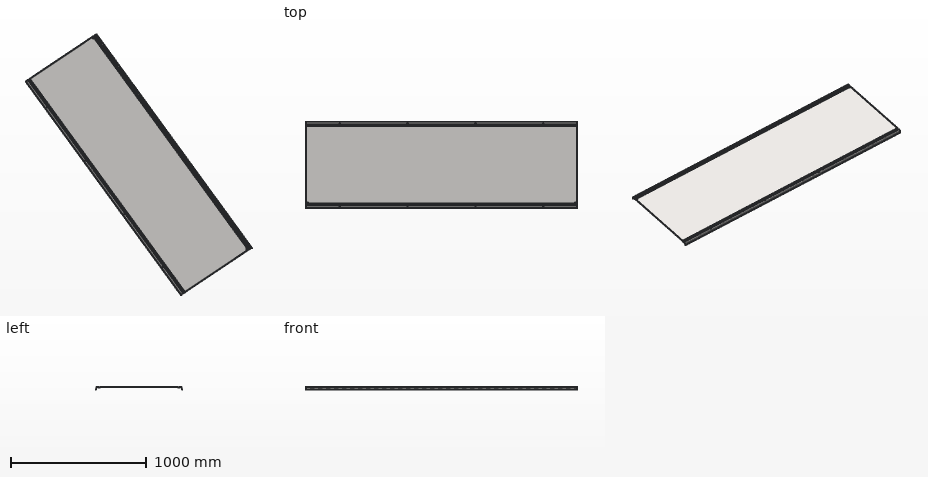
import cadquery as cq

length = 2000.0
width = 635.0
height = 20.0
sheet = 1.0

flange_lean = 5.0
bend_radius = 2.0

groove_start = 18.0
groove_end = 35.0
wall_run = 5.0
groove_depth = 5.0

hole_diameter = 5.0
hole_inset = 15.0
hole_pitch = 500.0
hole_count = 4

corner_hole_end_inset = 12.0
corner_hole_side_inset = 38.0


def half_profile():
    """Outline of the bent sheet for the +Y half, as (y, z) points."""
    edge = width / 2
    floor = height - groove_depth
    top = [
        (0, height),
        (edge - groove_end, height),
        (edge - groove_end + wall_run, floor),
        (edge - groove_start - wall_run, floor),
        (edge - groove_start, height),
        (edge - flange_lean, height),
    ]
    flange = [
        (edge, 0),
        (edge - sheet, 0),
        (edge - flange_lean - sheet, height - sheet),
    ]
    underside = [(y, z - sheet) for y, z in reversed(top[:-1])]
    return top + flange + underside


def round_bend(body, y, z, radius):
    """Round the lengthwise edge that runs through the point (0, y, z)."""
    return body.edges("|X").edges(cq.selectors.NearestToPointSelector((0, y, z))).fillet(radius)


def make_cover():
    """Bent sheet running the full length, symmetric about the XZ plane."""
    half = cq.Workplane("YZ").polyline(half_profile()).close().extrude(length / 2, both=True)
    half = round_bend(half, width / 2 - flange_lean, height, bend_radius)
    half = round_bend(half, width / 2 - flange_lean - sheet, height - sheet, bend_radius - sheet)
    return half.union(half.mirror("XZ"))


def drill(points):
    """Upright round cutters at the given (x, y) points, passing through the sheet."""
    cutters = cq.Workplane("XY").pushPoints(points)
    return cutters.circle(hole_diameter / 2).extrude(2 * height)


def margin_hole_points():
    """Evenly spaced hole centres along both margins."""
    first_x = -hole_pitch * (hole_count - 1) / 2
    hole_y = width / 2 - hole_inset
    return [(first_x + i * hole_pitch, side * hole_y) for i in range(hole_count) for side in (-1, 1)]


def corner_hole_points():
    """Hole centres at both ends of the front (-Y) side of the panel."""
    hole_x = length / 2 - corner_hole_end_inset
    hole_y = corner_hole_side_inset - width / 2
    return [(-hole_x, hole_y), (hole_x, hole_y)]


result = make_cover().cut(drill(margin_hole_points())).cut(drill(corner_hole_points()))